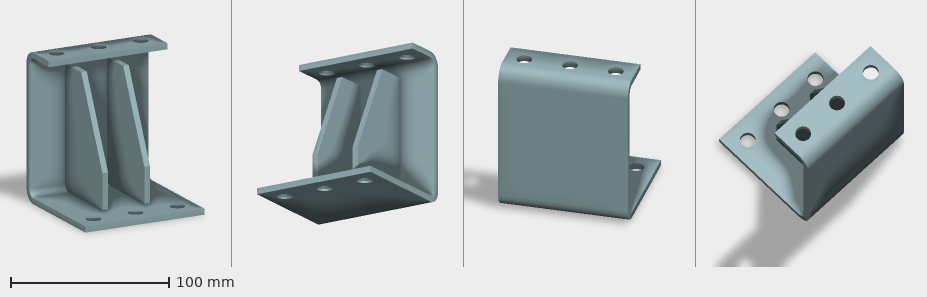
import cadquery as cq

base_length = 80.0
width = 85.0
height = 100.0
thickness = 4.0
top_flange_length = 30.0
inner_bend_radius = 5.0
outer_bend_radius = inner_bend_radius + thickness

hole_diameter = 10.0
hole_pitch = 30.0
hole_edge_distance = 13.0

rib_thickness = 4.0
rib_spacing = 30.0
rib_reach = 54.5
rib_top_reach = 25.7
rib_top = 88.0
rib_front_top = 29.0


def channel():
    """C-shaped sheet with its back wall at X = 0 and its base at Z = 0."""
    outer = (
        cq.Workplane("XZ")
        .rect(base_length, height)
        .extrude(width / 2, both=True)
        .translate((base_length / 2, 0, height / 2))
        .edges("|Y and <X")
        .fillet(outer_bend_radius)
    )
    inner_height = height - 2 * thickness
    inner = (
        cq.Workplane("XZ")
        .rect(base_length, inner_height)
        .extrude(width / 2, both=True)
        .translate((thickness + base_length / 2, 0, height / 2))
        .edges("|Y and <X")
        .fillet(inner_bend_radius)
    )
    trim_length = base_length - top_flange_length
    trim = cq.Workplane("XY").box(trim_length, width, height / 2, centered=(False, True, False))
    return outer.cut(inner).cut(trim.translate((top_flange_length, 0, height / 2)))


def rib(y_center):
    """Tapered plate whose lower back corner follows the inside of the bend."""
    bend_center = thickness + inner_bend_radius
    return (
        cq.Workplane("XZ", origin=(0, y_center, 0))
        .moveTo(thickness, bend_center)
        .lineTo(thickness, rib_top)
        .lineTo(rib_top_reach, rib_top)
        .lineTo(rib_reach, rib_front_top)
        .lineTo(rib_reach, thickness)
        .lineTo(bend_center, thickness)
        .radiusArc((thickness, bend_center), inner_bend_radius)
        .close()
        .extrude(rib_thickness / 2, both=True)
    )


def hole_row(flange_length, flange_bottom):
    """Three cutters along Y, set back from the free edge of a flange."""
    return (
        cq.Workplane("XY", origin=(flange_length - hole_edge_distance, 0, flange_bottom))
        .rarray(1, hole_pitch, 1, 3)
        .circle(hole_diameter / 2)
        .extrude(thickness)
    )


result = channel()
for side in (-1, 1):
    result = result.union(rib(side * rib_spacing / 2))
result = result.cut(hole_row(base_length, 0))
result = result.cut(hole_row(top_flange_length, height - thickness))